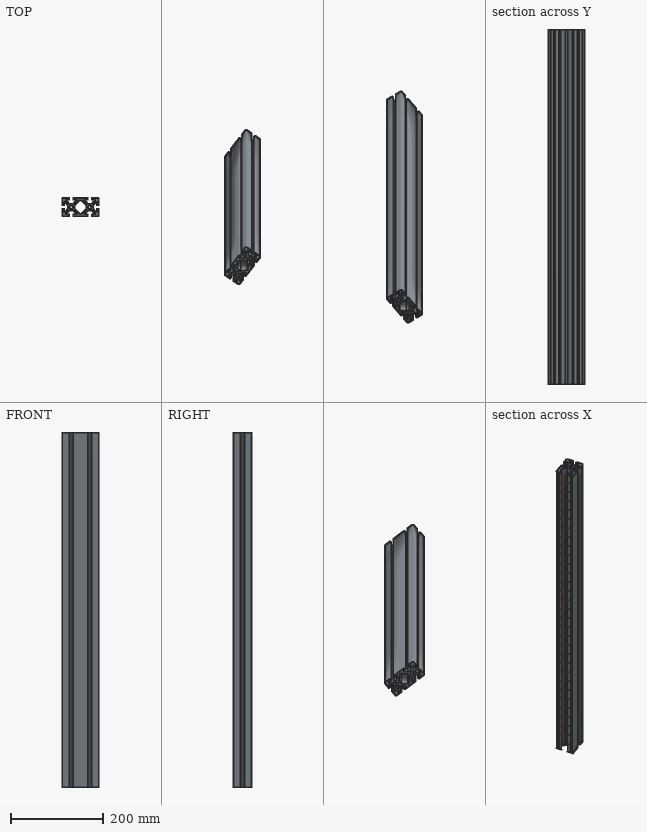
import cadquery as cq
import math

module = 40.0
width = 2 * module
depth = module
length = 770.0
corner_radius = 3.0

slot_opening = 8.2
slot_depth = 12.25
lip_thickness = 4.5
lip_radius = 0.75
cavity_width = 22.2
web_thickness = 4.75

core_hole_diameter = 7.0
chamber_width = 24.3
chamber_depth = 28.5
chamber_chamfer = 9.9

module_half = module / 2
slot_floor = module_half - slot_depth
lip_inner_face = module_half - lip_thickness
lip_round_start = module_half - lip_radius
web_offset = web_thickness / math.sqrt(2)


def make_body():
    """Plain bar with rounded long edges."""
    body = cq.Workplane("XY").box(width, depth, length)
    return body.edges("|Z").fillet(corner_radius)


def make_slot():
    """T-slot cutter for a module centred on the origin, open towards +Y."""
    opening_half = slot_opening / 2
    mouth_half = opening_half + lip_radius
    cavity_half = cavity_width / 2
    cavity_shoulder = cavity_half + web_offset
    floor_half = slot_floor - web_offset
    outline = (
        cq.Workplane("XY", origin=(0, 0, -length / 2))
        .moveTo(floor_half, slot_floor)
        .lineTo(cavity_half, cavity_shoulder)
        .lineTo(cavity_half, lip_inner_face)
        .lineTo(opening_half, lip_inner_face)
        .lineTo(opening_half, lip_round_start)
        .radiusArc((mouth_half, module_half), lip_radius)
        .lineTo(-mouth_half, module_half)
        .radiusArc((-opening_half, lip_round_start), lip_radius)
        .lineTo(-opening_half, lip_inner_face)
        .lineTo(-cavity_half, lip_inner_face)
        .lineTo(-cavity_half, cavity_shoulder)
        .lineTo(-floor_half, slot_floor)
        .close()
    )
    return outline.extrude(length)


def make_chamber():
    """Eight-sided central chamber running the full length."""
    chamber = cq.Workplane("XY").box(chamber_width, chamber_depth, length)
    return chamber.edges("|Z").chamfer(chamber_chamfer)


def cut_slots(body):
    """Cut the back, front and end slots of both modules."""
    slot = make_slot()
    for side in (-1, 1):
        module_centre = (side * module_half, 0, 0)
        for angle in (0, 180, -90 * side):
            turned = slot.rotate((0, 0, 0), (0, 0, 1), angle)
            body = body.cut(turned.translate(module_centre))
    return body


def cut_core_holes(body):
    """Cut the round hole along the core of each module."""
    centres = [(-module_half, 0), (module_half, 0)]
    return body.faces(">Z").workplane(origin=(0, 0, 0)).pushPoints(centres).hole(core_hole_diameter)


slotted_bar = cut_slots(make_body())
hollow_bar = slotted_bar.cut(make_chamber())
result = cut_core_holes(hollow_bar)